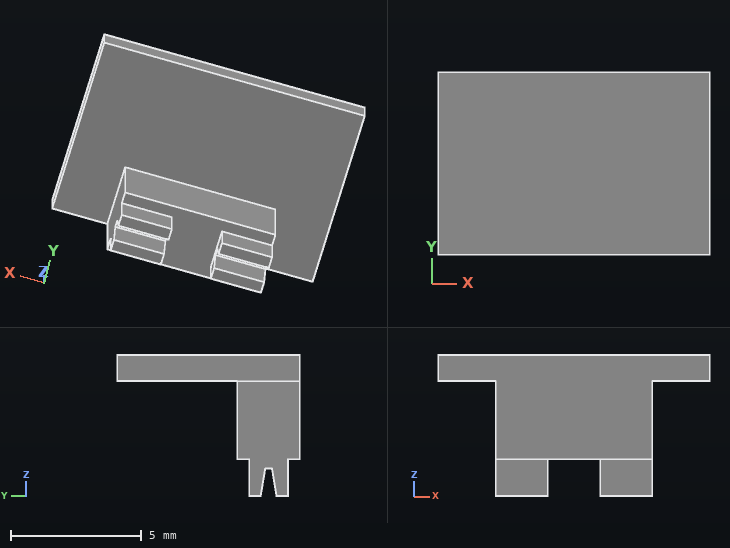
import cadquery as cq

plate_length = 10.4
plate_width = 7.0
plate_thickness = 1.0

body_length = 6.0
body_width = 2.4
body_height = 3.0

leg_length = 2.0
leg_width = 1.5
leg_height = 1.4

slot_mouth_width = 0.6
slot_root_width = 0.25
slot_depth = 1.05

body_top = -plate_thickness
leg_top = body_top - body_height
leg_bottom = leg_top - leg_height
slot_root = leg_bottom + slot_depth
body_center_y = (body_width - plate_width) / 2
leg_center_x = (body_length - leg_length) / 2


def make_plate():
    return cq.Workplane("XY").box(
        plate_length, plate_width, plate_thickness, centered=(True, True, False)
    ).translate((0, 0, body_top))


def make_body():
    return cq.Workplane("XY").box(
        body_length, body_width, body_height, centered=(True, True, False)
    ).translate((0, body_center_y, leg_top))


def make_leg(center_x):
    """Forked leg: a Y-Z outline with a tapered slot, extruded along X."""
    outer = leg_width / 2
    mouth = slot_mouth_width / 2
    root = slot_root_width / 2
    outline = [
        (-outer, leg_top),
        (-outer, leg_bottom),
        (-mouth, leg_bottom),
        (-root, slot_root),
        (root, slot_root),
        (mouth, leg_bottom),
        (outer, leg_bottom),
        (outer, leg_top),
    ]
    leg = cq.Workplane("YZ").polyline(outline).close().extrude(leg_length / 2, both=True)
    return leg.translate((center_x, body_center_y, 0))


result = make_plate().union(make_body())
for side in (-1, 1):
    result = result.union(make_leg(side * leg_center_x))